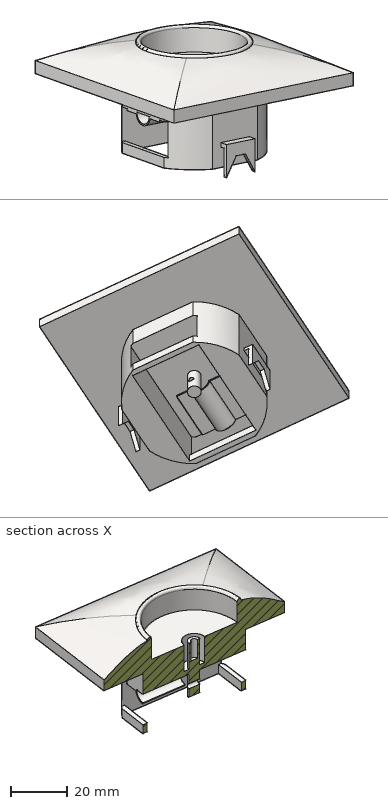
import cadquery as cq
import math

PLATE_X = 81.5
PLATE_Y = 80.5
PLATE_THICK = 4.9

RIM_Z = 13.9
RIM_OUTER_R = 20.95
CUP_R = 38.0 / 2
BEAD_ROOT = 0.8
CUP_FLOOR_Z = 4.9
CREASE_X = 27.0
CREASE_Z = 10.8
DOME_MID_INSET = 10.7
DOME_MID_Z = 11.2

POCKET_R = 9.0 / 2
POCKET_DEPTH = 11.4
PIN_R = 5.0 / 2
PIN_BOTTOM_Z = -18.9
PIN_BORE_R = 2.5 / 2
PIN_BORE_DEPTH = 8.15
CROSS_HOLE_R = 2.0 / 2
CROSS_HOLE_Z = -14.0

SKIRT_R = 26.0
SKIRT_X = 47.9
SKIRT_Y = 45.9
SKIRT_DEPTH = 26.1

WINDOW_WIDTH = 27.05
WINDOW_TOP_Z = -8.9
WINDOW_BOTTOM_Z = -22.1
BAR_THICK = 2.0

TROUGH_OUTER_R = 4.15
TROUGH_WALL = 0.6
TROUGH_END_Y = -4.1
LEDGE_WIDTH = 19.1
LEDGE_DROP = 0.7

CLIP_SPAN = 54.8
CLIP_WIDTH = 12.8
CLIP_THICK = 1.6
CLIP_TOP_Z = -16.8
CLIP_BOTTOM_Z = -29.1
CLAW_NOTCH_TOP_Z = -21.7
CLAW_NOTCH_TOP_WIDTH = 4.15


def cylinder(radius, bottom_z, top_z):
    """Upright cylinder on the part's axis."""
    return cq.Workplane("XY", origin=(0, 0, bottom_z)).circle(radius).extrude(top_z - bottom_z)


def cover():
    """Slab with a dome of four curved faces that meet in corner creases."""
    signs = [(-1, -1), (1, -1), (1, 1), (-1, 1)]
    half_x = PLATE_X / 2
    half_y = PLATE_Y / 2
    diagonal = RIM_OUTER_R * math.sqrt(0.5)
    crease_y = CREASE_X * PLATE_Y / PLATE_X

    base = [cq.Vector(sx * half_x, sy * half_y, 0) for sx, sy in signs]
    shoulder = [cq.Vector(sx * half_x, sy * half_y, PLATE_THICK) for sx, sy in signs]
    rim = [cq.Vector(sx * diagonal, sy * diagonal, RIM_Z) for sx, sy in signs]
    crease_mid = [cq.Vector(sx * CREASE_X, sy * crease_y, CREASE_Z) for sx, sy in signs]
    creases = [cq.Edge.makeThreePointArc(*points) for points in zip(shoulder, crease_mid, rim)]

    outward = [(0, -1), (1, 0), (0, 1), (-1, 0)]
    faces = [cq.Face.makeFromWires(cq.Wire.makePolygon(base, close=True))]
    rim_arcs = []
    for i, (dx, dy) in enumerate(outward):
        j = (i + 1) % 4
        side_outline = [base[i], base[j], shoulder[j], shoulder[i]]
        faces.append(cq.Face.makeFromWires(cq.Wire.makePolygon(side_outline, close=True)))

        rim_mid = cq.Vector(dx * RIM_OUTER_R, dy * RIM_OUTER_R, RIM_Z)
        rim_arc = cq.Edge.makeThreePointArc(rim[i], rim_mid, rim[j])
        rim_arcs.append(rim_arc)
        plate_edge = cq.Edge.makeLine(shoulder[i], shoulder[j])
        dome_mid = cq.Vector(dx * (half_x - DOME_MID_INSET), dy * (half_y - DOME_MID_INSET), DOME_MID_Z)
        boundary = [plate_edge, creases[j], rim_arc, creases[i]]
        faces.append(cq.Face.makeNSidedSurface(boundary, [dome_mid]))
    faces.append(cq.Face.makeFromWires(cq.Wire.assembleEdges(rim_arcs)))
    return cq.Workplane(cq.Solid.makeSolid(cq.Shell.makeShell(faces)))


def rim_bead():
    """Half-round bead around the mouth of the cup."""
    section = (
        cq.Workplane("XZ")
        .moveTo(CUP_R, RIM_Z - BEAD_ROOT)
        .lineTo(CUP_R, RIM_Z)
        .threePointArc(
            ((CUP_R + RIM_OUTER_R) / 2, RIM_Z + (RIM_OUTER_R - CUP_R) / 2),
            (RIM_OUTER_R, RIM_Z),
        )
        .lineTo(CUP_R, RIM_Z - BEAD_ROOT)
        .close()
    )
    return section.revolve(360, (0, 0, 0), (0, 1, 0))


def skirt():
    """Solid skirt with a cavity open below and a cross bar left under each window."""
    flats = cq.Workplane("XY").rect(SKIRT_X, SKIRT_Y).extrude(-SKIRT_DEPTH)
    window = (
        cq.Workplane("XY", origin=(0, 0, WINDOW_TOP_Z))
        .rect(WINDOW_WIDTH, 2 * SKIRT_R)
        .extrude(WINDOW_BOTTOM_Z - WINDOW_TOP_Z)
    )
    cavity = (
        cq.Workplane("XY", origin=(0, 0, WINDOW_TOP_Z))
        .rect(WINDOW_WIDTH, SKIRT_Y - 2 * BAR_THICK)
        .extrude(-SKIRT_DEPTH - WINDOW_TOP_Z)
    )
    return cylinder(SKIRT_R, -SKIRT_DEPTH, 0).intersect(flats).cut(window).cut(cavity)


def half_round(radius, start_y, end_y):
    """Lower half of a cylinder along Y, its flat side level with the window top."""
    return (
        cq.Workplane("XZ", origin=(0, start_y, WINDOW_TOP_Z))
        .moveTo(-radius, 0)
        .threePointArc((0, -radius), (radius, 0))
        .close()
        .extrude(start_y - end_y)
    )


def trough():
    """Cable trough and its ledge, flush with the -Y side of the skirt."""
    front_y = -SKIRT_Y / 2
    ledge = (
        cq.Workplane("XY", origin=(0, (front_y + TROUGH_END_Y) / 2, WINDOW_TOP_Z))
        .rect(LEDGE_WIDTH, TROUGH_END_Y - front_y)
        .extrude(-LEDGE_DROP)
    )
    bore = half_round(TROUGH_OUTER_R - TROUGH_WALL, TROUGH_END_Y, front_y)
    return half_round(TROUGH_OUTER_R, TROUGH_END_Y, front_y).union(ledge).cut(bore)


def clip(side):
    """L-shaped clip on the X side given by side (+1 or -1), its arm cut into two claws."""
    tip_x = side * CLIP_SPAN / 2
    inner_x = side * (CLIP_SPAN / 2 - CLIP_THICK)
    root_x = side * (SKIRT_X / 2 - CLIP_THICK)
    bracket = (
        cq.Workplane("XZ", origin=(0, CLIP_WIDTH / 2, 0))
        .polyline([
            (root_x, CLIP_TOP_Z),
            (tip_x, CLIP_TOP_Z),
            (tip_x, CLIP_BOTTOM_Z),
            (inner_x, CLIP_BOTTOM_Z),
            (inner_x, CLIP_TOP_Z - CLIP_THICK),
            (root_x, CLIP_TOP_Z - CLIP_THICK),
        ])
        .close()
        .extrude(CLIP_WIDTH)
    )
    notch = (
        cq.Workplane("YZ")
        .polyline([
            (-CLIP_WIDTH / 2, CLIP_BOTTOM_Z),
            (-CLAW_NOTCH_TOP_WIDTH / 2, CLAW_NOTCH_TOP_Z),
            (CLAW_NOTCH_TOP_WIDTH / 2, CLAW_NOTCH_TOP_Z),
            (CLIP_WIDTH / 2, CLIP_BOTTOM_Z),
        ])
        .close()
        .extrude(side * CLIP_SPAN)
    )
    return bracket.cut(notch)


def pin():
    """Contact pin with a blind bore from the top and a cross hole along Y."""
    cross_hole = (
        cq.Workplane("XZ", origin=(0, 0, CROSS_HOLE_Z)).circle(CROSS_HOLE_R).extrude(PIN_R * 2, both=True)
    )
    bore = cylinder(PIN_BORE_R, CUP_FLOOR_Z - PIN_BORE_DEPTH, CUP_FLOOR_Z)
    return cylinder(PIN_R, PIN_BOTTOM_Z, CUP_FLOOR_Z).cut(bore).cut(cross_hole)


body = cover().union(rim_bead()).cut(cylinder(CUP_R, CUP_FLOOR_Z, RIM_Z + RIM_OUTER_R - CUP_R))
body = body.union(skirt())
body = body.union(trough())
body = body.cut(cylinder(POCKET_R, CUP_FLOOR_Z - POCKET_DEPTH, CUP_FLOOR_Z))
body = body.union(pin())
for side in (-1, 1):
    body = body.union(clip(side))

result = body